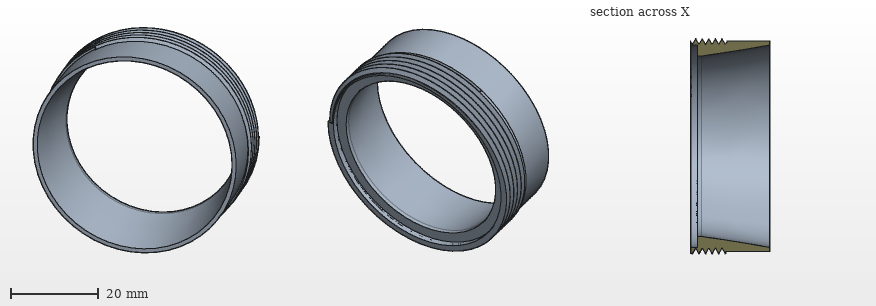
import cadquery as cq
import math

ring_length = 18.0
thread_length = 8.0
sleeve_radius = 24.0
thread_radius = 24.5

bore_radius = 23.0
lip_radius = 20.5
lip_length = 1.0
counterbore_depth = 1.5

pitch = 1.5
groove_depth = 1.22
groove_angle = 60.0
groove_start_angle = 120.0
cut_clearance = 0.05

sleeve_length = ring_length - thread_length
lip_rear = ring_length - counterbore_depth
lip_front = lip_rear - lip_length


def make_ring():
    """Sleeve with a larger band for the thread around a tapered bore with a lip near the rear."""
    return (
        cq.Workplane("XY")
        .moveTo(bore_radius, 0)
        .lineTo(sleeve_radius, 0)
        .lineTo(sleeve_radius, sleeve_length)
        .lineTo(thread_radius, sleeve_length)
        .lineTo(thread_radius, ring_length)
        .lineTo(bore_radius, ring_length)
        .lineTo(bore_radius, lip_rear)
        .lineTo(lip_radius, lip_rear)
        .lineTo(lip_radius, lip_front)
        .close()
        .revolve(360, (0, 0, 0), (0, 1, 0))
    )


def make_groove_cutter():
    """V-section helix that starts at the shoulder and ends at the rear face."""
    root_radius = thread_radius - groove_depth
    outer_radius = thread_radius + cut_clearance
    half_width = (outer_radius - root_radius) * math.tan(math.radians(groove_angle / 2))

    helix = cq.Wire.makeHelix(pitch, thread_length, root_radius)
    cutter = (
        cq.Workplane("XZ")
        .moveTo(root_radius, 0)
        .lineTo(outer_radius, half_width)
        .lineTo(outer_radius, -half_width)
        .close()
        .sweep(cq.Workplane(helix), isFrenet=True)
    )
    return (
        cutter.rotate((0, 0, 0), (0, 0, 1), -groove_start_angle)
        .rotate((0, 0, 0), (1, 0, 0), -90)
        .translate((0, sleeve_length, 0))
    )


result = make_ring().cut(make_groove_cutter())